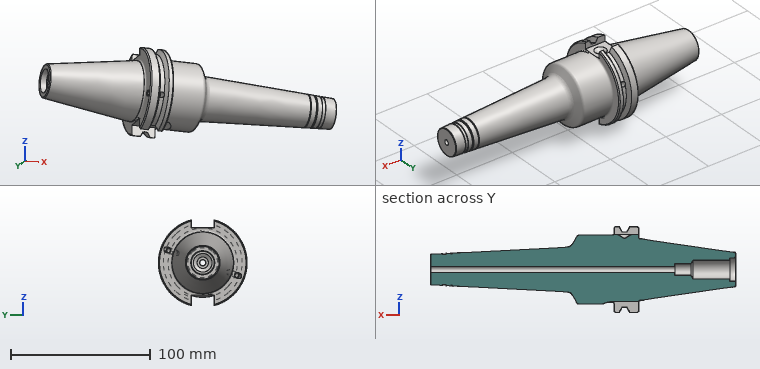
import cadquery as cq
import math

TOTAL_LENGTH = 218.2

GAUGE_DIAMETER = 44.5
GAUGE_X = 68.3
TAPER_RATIO = 7 / 24
TAPER_END_X = 67.9
RELIEF_DIAMETER = 43.9
RELIEF_FILLET = 1.3
REAR_CHAMFER = 0.7

FLANGE_DIAMETER = 63.5
FLANGE_START_X = 69.5
FLANGE_END_X = 87.0
FLANGE_CHAMFER = 0.9
GROOVE_X = 79.7
GROOVE_FLOOR_DIAMETER = 56.3
GROOVE_FLOOR_WIDTH = 3.3
GROOVE_WALL_ANGLE = 30.0
SLOT_WIDTH = 16.2
TOP_SLOT_HEIGHT = 25.0
BOTTOM_SLOT_HEIGHT = 23.0
SLOT_RUNOUT_RADIUS = 19.6
DIMPLE_DIAMETER = 9.5
DRILL_POINT_ANGLE = 118.0

COOLANT_CIRCLE_DIAMETER = 54.0
COOLANT_ANGLE = 20.0
COOLANT_SLANT = 36.0
COOLANT_ENTRY_DIAMETER = 4.1
COOLANT_ENTRY_DEPTH = 1.7
COOLANT_DIAMETER = 3.3
CROSS_HOLE_DIAMETER = 4.0

BODY_DIAMETER = 49.5
ROOT_FILLET = 1.3
SHOULDER_ANGLE = 60.0
SHOULDER_START_X = 113.3
SHOULDER_OUTER_FILLET = 2.5
SHOULDER_INNER_FILLET = 3.7

NOSE_START_X = 117.9
NOSE_START_DIAMETER = 32.7
NOSE_HALF_ANGLE = 3.0
TIP_CHAMFER = 0.5
RING_GROOVES = [(198.0, 0.7, 0.2), (202.8, 0.9, 0.7), (207.3, 2.5, 0.7)]

MOUTH_DIAMETER = 17.2
MOUTH_DEPTH = 1.7
COUNTERBORE_DIAMETER = 16.4
COUNTERBORE_DEPTH = 4.4
THREAD_BORE_DIAMETER = 13.3
THREAD_BORE_DEPTH = 30.5
STEP_BORE_DIAMETER = 8.0
STEP_BORE_DEPTH = 43.6
THROUGH_DIAMETER = 4.1


def slope(angle):
    return math.tan(math.radians(angle))


def revolve_about_x(profile):
    return profile.close().revolve(360, (0, 0, 0), (1, 0, 0))


def taper_radius(x):
    return GAUGE_DIAMETER / 2 - (GAUGE_X - x) * TAPER_RATIO / 2


def nose_radius(x):
    return NOSE_START_DIAMETER / 2 - (x - NOSE_START_X) * slope(NOSE_HALF_ANGLE)


def make_shank():
    rear_radius = taper_radius(0)
    return revolve_about_x(
        cq.Workplane("XY")
        .moveTo(0, 0)
        .lineTo(0, rear_radius - REAR_CHAMFER)
        .lineTo(REAR_CHAMFER, taper_radius(REAR_CHAMFER))
        .lineTo(TAPER_END_X, taper_radius(TAPER_END_X))
        .lineTo(TAPER_END_X, RELIEF_DIAMETER / 2)
        .lineTo(FLANGE_START_X - RELIEF_FILLET, RELIEF_DIAMETER / 2)
        .radiusArc((FLANGE_START_X, RELIEF_DIAMETER / 2 + RELIEF_FILLET), -RELIEF_FILLET)
        .lineTo(FLANGE_START_X, 0)
    )


def make_flange():
    radius = FLANGE_DIAMETER / 2
    floor_radius = GROOVE_FLOOR_DIAMETER / 2
    half_floor = GROOVE_FLOOR_WIDTH / 2
    half_mouth = half_floor + (radius - floor_radius) * slope(GROOVE_WALL_ANGLE)
    return revolve_about_x(
        cq.Workplane("XY")
        .moveTo(FLANGE_START_X, 0)
        .lineTo(FLANGE_START_X, radius - FLANGE_CHAMFER)
        .lineTo(FLANGE_START_X + FLANGE_CHAMFER, radius)
        .lineTo(GROOVE_X - half_mouth, radius)
        .lineTo(GROOVE_X - half_floor, floor_radius)
        .lineTo(GROOVE_X + half_floor, floor_radius)
        .lineTo(GROOVE_X + half_mouth, radius)
        .lineTo(FLANGE_END_X - FLANGE_CHAMFER, radius)
        .lineTo(FLANGE_END_X, radius - FLANGE_CHAMFER)
        .lineTo(FLANGE_END_X, 0)
    )


def make_body():
    """Cylinder with a filleted root, and a cone blended into the nose."""
    radius = BODY_DIAMETER / 2
    turn = math.radians(SHOULDER_ANGLE)
    drop = radius - nose_radius(NOSE_START_X)
    cone_end_x = SHOULDER_START_X + drop / math.tan(turn)
    blank = revolve_about_x(
        cq.Workplane("XY")
        .moveTo(FLANGE_END_X, 0)
        .lineTo(FLANGE_END_X, radius + ROOT_FILLET)
        .radiusArc((FLANGE_END_X + ROOT_FILLET, radius), -ROOT_FILLET)
        .lineTo(SHOULDER_START_X, radius)
        .lineTo(cone_end_x, nose_radius(cone_end_x))
        .lineTo(TOTAL_LENGTH - TIP_CHAMFER, nose_radius(TOTAL_LENGTH - TIP_CHAMFER))
        .lineTo(TOTAL_LENGTH, nose_radius(TOTAL_LENGTH) - TIP_CHAMFER)
        .lineTo(TOTAL_LENGTH, 0)
    )

    def edge_at(x):
        margin = 0.2
        return cq.selectors.BoxSelector((x - margin, -radius, -radius), (x + margin, radius, radius))

    blank = blank.edges(edge_at(SHOULDER_START_X)).fillet(SHOULDER_OUTER_FILLET)
    return blank.edges(edge_at(cone_end_x)).fillet(SHOULDER_INNER_FILLET)


def make_ring_groove(start_x, width, depth):
    floor_radius = nose_radius(start_x) - depth
    return (
        cq.Workplane("YZ", origin=(start_x, 0, 0))
        .circle(BODY_DIAMETER / 2)
        .circle(floor_radius)
        .extrude(width)
    )


def make_bore():
    cone_length = (THREAD_BORE_DIAMETER - STEP_BORE_DIAMETER) / 2 / slope(DRILL_POINT_ANGLE / 2)
    return revolve_about_x(
        cq.Workplane("XY")
        .moveTo(0, 0)
        .lineTo(0, MOUTH_DIAMETER / 2)
        .lineTo(MOUTH_DEPTH, COUNTERBORE_DIAMETER / 2)
        .lineTo(COUNTERBORE_DEPTH, COUNTERBORE_DIAMETER / 2)
        .lineTo(COUNTERBORE_DEPTH, THREAD_BORE_DIAMETER / 2)
        .lineTo(THREAD_BORE_DEPTH, THREAD_BORE_DIAMETER / 2)
        .lineTo(THREAD_BORE_DEPTH + cone_length, STEP_BORE_DIAMETER / 2)
        .lineTo(STEP_BORE_DEPTH, STEP_BORE_DIAMETER / 2)
        .lineTo(STEP_BORE_DEPTH, THROUGH_DIAMETER / 2)
        .lineTo(TOTAL_LENGTH, THROUGH_DIAMETER / 2)
        .lineTo(TOTAL_LENGTH, 0)
    )


def make_top_slot():
    length = FLANGE_END_X + ROOT_FILLET - FLANGE_START_X
    return (
        cq.Workplane("XY", origin=(FLANGE_START_X + length / 2, 0, TOP_SLOT_HEIGHT))
        .rect(length, SLOT_WIDTH)
        .extrude(FLANGE_DIAMETER / 2)
    )


def make_bottom_slot():
    """Slot whose floor rises out of the body along the cutter radius."""
    start_x = FLANGE_START_X - RELIEF_FILLET
    outside_z = -BOTTOM_SLOT_HEIGHT - SLOT_RUNOUT_RADIUS
    return (
        cq.Workplane("XZ", origin=(0, SLOT_WIDTH / 2, 0))
        .moveTo(start_x, -BOTTOM_SLOT_HEIGHT)
        .lineTo(FLANGE_END_X, -BOTTOM_SLOT_HEIGHT)
        .radiusArc((FLANGE_END_X + SLOT_RUNOUT_RADIUS, outside_z), SLOT_RUNOUT_RADIUS)
        .lineTo(start_x, outside_z)
        .close()
        .extrude(SLOT_WIDTH)
    )


def make_dimple():
    """Drill-point dimple in the floor of the top slot."""
    radius = DIMPLE_DIAMETER / 2
    depth = radius / slope(DRILL_POINT_ANGLE / 2)
    rim_center = cq.Vector(GROOVE_X, 0, TOP_SLOT_HEIGHT)
    return cq.Workplane(cq.Solid.makeCone(radius, 0, depth, rim_center, cq.Vector(0, 0, -1)))


def make_coolant_hole():
    """Stepped hole slanting in from the flange face, met by a radial hole from the V groove."""
    circle_radius = COOLANT_CIRCLE_DIAMETER / 2
    slant = math.radians(COOLANT_SLANT)
    direction = cq.Vector(math.cos(slant), -math.sin(slant), 0)
    mouth = cq.Vector(FLANGE_START_X, circle_radius, 0)
    length_to_groove = (GROOVE_X - FLANGE_START_X) / math.cos(slant)
    meeting_radius = circle_radius - length_to_groove * math.sin(slant)

    def slanted(diameter, depth):
        start = mouth - direction * diameter
        return cq.Workplane(cq.Solid.makeCylinder(diameter / 2, depth + diameter, start, direction))

    cross_hole = (
        cq.Workplane("XZ", origin=(GROOVE_X, FLANGE_DIAMETER / 2, 0))
        .circle(CROSS_HOLE_DIAMETER / 2)
        .extrude(FLANGE_DIAMETER / 2 - meeting_radius)
    )
    entry = slanted(COOLANT_ENTRY_DIAMETER, COOLANT_ENTRY_DEPTH)
    return entry.union(slanted(COOLANT_DIAMETER, length_to_groove)).union(cross_hole)


result = make_shank().union(make_flange()).union(make_body()).cut(make_bore())
for start_x, width, depth in RING_GROOVES:
    result = result.cut(make_ring_groove(start_x, width, depth))

result = result.cut(make_top_slot()).cut(make_bottom_slot()).cut(make_dimple())

coolant_hole = make_coolant_hole()
for angle in (COOLANT_ANGLE, COOLANT_ANGLE + 180):
    result = result.cut(coolant_hole.rotate((0, 0, 0), (1, 0, 0), angle))